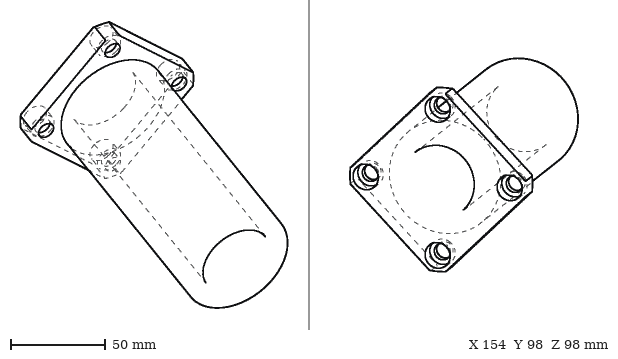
import cadquery as cq

total_length = 154.0
body_diameter = 62.0
body_end_fillet = 1.4

flange_turn_angle = 45.0
flange_thickness = 13.0
flange_side = 75.0
flange_corner_diameter = 98.0
flange_corner_fillet = 0.8

bore_diameter = 40.0
bore_mouth_fillet = 1.4

hole_count = 4
hole_circle_diameter = 80.0
hole_diameter = 9.0
counterbore_diameter = 14.0
counterbore_depth = 8.6


def cylinder_along_x(diameter, length):
    return cq.Workplane("YZ").circle(diameter / 2).extrude(length)


def make_flange():
    square = (
        cq.Workplane("YZ")
        .transformed(rotate=(0, 0, flange_turn_angle))
        .rect(flange_side, flange_side)
        .extrude(flange_thickness)
    )
    corner_round = cylinder_along_x(flange_corner_diameter, flange_thickness)
    corner_round = corner_round.faces("<X or >X").edges().fillet(flange_corner_fillet)
    return square.intersect(corner_round)


def make_body():
    body = cylinder_along_x(body_diameter, total_length)
    return body.faces(">X").edges().fillet(body_end_fillet)


def make_bore():
    """Cutter for the through bore, flaring out in a quarter round at each end."""
    bore_radius = bore_diameter / 2
    mouth_radius = bore_radius + bore_mouth_fillet
    far_mouth_start = total_length - bore_mouth_fillet
    return (
        cq.Workplane("XY")
        .lineTo(0, mouth_radius)
        .radiusArc((bore_mouth_fillet, bore_radius), -bore_mouth_fillet)
        .lineTo(far_mouth_start, bore_radius)
        .radiusArc((total_length, mouth_radius), -bore_mouth_fillet)
        .lineTo(total_length, 0)
        .close()
        .revolve(360, (0, 0, 0), (1, 0, 0))
    )


def make_hole_ring(diameter, depth):
    """Cylinders on the hole circle, running in from the flange face."""
    centres = cq.Workplane("YZ").polarArray(hole_circle_diameter / 2, 0, 360, hole_count)
    return centres.circle(diameter / 2).extrude(depth)


def make_mounting_holes():
    """Cutters for the mounting holes, counterbored from the flange face."""
    through_holes = make_hole_ring(hole_diameter, flange_thickness)
    counterbores = make_hole_ring(counterbore_diameter, counterbore_depth)
    return through_holes.union(counterbores)


result = make_flange().union(make_body()).cut(make_bore()).cut(make_mounting_holes())